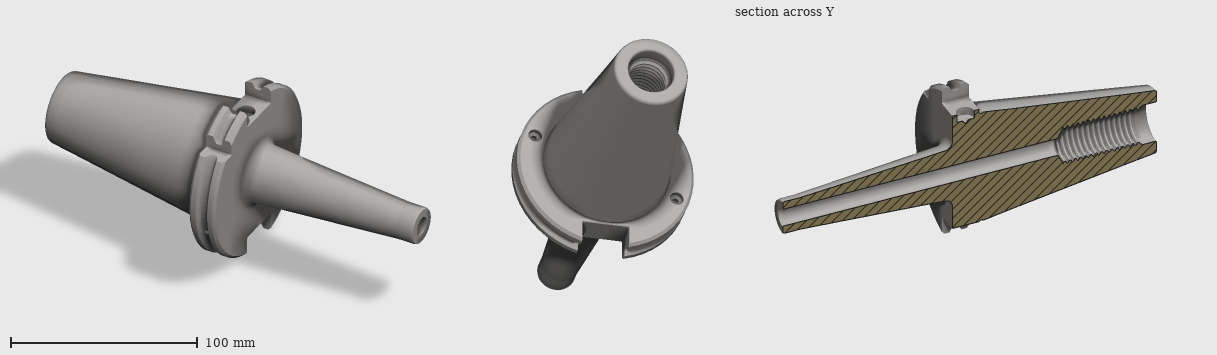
import cadquery as cq
import math

total_length = 220.8

taper_length = 102.5
taper_big_radius = 35.0
taper_small_radius = taper_big_radius - taper_length * 7 / 48
taper_end_round = 2.0
relief_depth = 0.5

flange_start = 104.6
flange_end = 120.8
flange_radius = 97.4 / 2
flange_chamfer = 1.5
groove_center = 112.8
groove_floor_radius = 45.5
groove_mouth_width = 7.0
groove_half_angle = math.radians(30)
groove_floor_round = 1.3

neck_round = 4.5
neck_radius = 16.3
nose_start = 210.5
nose_radius = 10.4
nose_chamfer_length = 1.3
nose_chamfer_depth = 0.5

bore_mouth_round = 1.3
pilot_radius = 12.5
pilot_depth = 8.2
thread_root_radius = 12.0
thread_crest_radius = 10.4
thread_start = 9.3
thread_pitch = 3.0
thread_crest_width = 0.9
thread_turns = 15
thread_half_angle = math.radians(30)
through_radius = 5.3
drill_point_angle = math.radians(120)

slot_width = 25.5
upper_slot_floor = 37.5
lower_slot_floor = 35.3
notch_side = 29.8
notch_floor = 30.0
cutout_chamfer = 0.5
cutout_corner_round = 0.7

key_hole_radius = 5.0
key_hole_depth = 4.9
dimple_radius = 2.0
dimple_depth = 2.0

screw_circle_radius = 41.5
screw_angles = (20, 200)
screw_radius = 3.8
screw_pocket_depth = 2.9
socket_diameter = 3.5
socket_depth = 2.2

groove_hole_radius = 1.5
groove_hole_depth = 4.0
groove_hole_angles = (20, 60, 200)


def revolve_about_axis(outline):
    return outline.close().revolve(360, (0, 0, 0), (1, 0, 0))


def revolved_body():
    half_mouth = groove_mouth_width / 2
    half_floor = half_mouth - (flange_radius - groove_floor_radius) * math.tan(groove_half_angle)
    tangent = groove_floor_round * math.tan((math.pi / 2 - groove_half_angle) / 2)
    flat_end = half_floor - tangent
    wall_end = half_floor + tangent * math.sin(groove_half_angle)
    wall_end_radius = groove_floor_radius + tangent * math.cos(groove_half_angle)
    outline = (
        cq.Workplane("XY")
        .lineTo(0, taper_small_radius)
        .lineTo(taper_length, taper_big_radius)
        .lineTo(taper_length + relief_depth, taper_big_radius - relief_depth)
        .lineTo(flange_start - relief_depth, taper_big_radius - relief_depth)
        .lineTo(flange_start, taper_big_radius)
        .lineTo(flange_start, flange_radius - flange_chamfer)
        .lineTo(flange_start + flange_chamfer, flange_radius)
        .lineTo(groove_center - half_mouth, flange_radius)
        .lineTo(groove_center - wall_end, wall_end_radius)
        .tangentArcPoint((groove_center - flat_end, groove_floor_radius), relative=False)
        .lineTo(groove_center + flat_end, groove_floor_radius)
        .tangentArcPoint((groove_center + wall_end, wall_end_radius), relative=False)
        .lineTo(groove_center + half_mouth, flange_radius)
        .lineTo(flange_end - flange_chamfer, flange_radius)
        .lineTo(flange_end, flange_radius - flange_chamfer)
        .lineTo(flange_end, neck_radius + neck_round)
        .radiusArc((flange_end + neck_round, neck_radius), -neck_round)
        .lineTo(nose_start, nose_radius)
        .lineTo(total_length - nose_chamfer_length, nose_radius)
        .lineTo(total_length, nose_radius - nose_chamfer_depth)
        .lineTo(total_length, 0)
    )
    return revolve_about_axis(outline).faces("<X").edges().fillet(taper_end_round)


def axial_bore():
    """Stepped bore; the thread is a row of plain ring grooves."""
    thread_height = thread_root_radius - thread_crest_radius
    flank = thread_height * math.tan(thread_half_angle)
    root = thread_pitch - 2 * flank - thread_crest_width
    thread_end = thread_start + thread_turns * thread_pitch
    point_length = (thread_crest_radius - through_radius) / math.tan(drill_point_angle / 2)
    outline = (
        cq.Workplane("XY")
        .lineTo(0, pilot_radius + bore_mouth_round)
        .radiusArc((bore_mouth_round, pilot_radius), -bore_mouth_round)
        .lineTo(pilot_depth, pilot_radius)
        .lineTo(thread_start, thread_root_radius)
    )
    for _ in range(thread_turns):
        outline = (
            outline.line(root, 0)
            .line(flank, -thread_height)
            .line(thread_crest_width, 0)
            .line(flank, thread_height)
        )
    outline = (
        outline.line(0, -thread_height)
        .lineTo(thread_end + point_length, through_radius)
        .lineTo(total_length, through_radius)
        .lineTo(total_length, 0)
    )
    return revolve_about_axis(outline)


def rim_cutout(y_min, y_max, z_min, z_max):
    """Rounded-corner box through the flange width, flared at the taper-side face."""
    width = y_max - y_min
    height = z_max - z_min
    face = cq.Workplane("YZ", origin=(flange_start, (y_min + y_max) / 2, (z_min + z_max) / 2))
    box = face.rect(width, height).extrude(flange_end - flange_start)
    flare = face.rect(width + 2 * cutout_chamfer, height + 2 * cutout_chamfer)
    return box.edges("|X").fillet(cutout_corner_round).union(flare.extrude(cutout_chamfer, taper=45))


def key_hole():
    bottom = upper_slot_floor - key_hole_depth
    bore = cq.Workplane("XY", origin=(groove_center, 0, bottom)).circle(key_hole_radius)
    dimple = cq.Solid.makeCone(
        dimple_radius, 0, dimple_depth, pnt=cq.Vector(groove_center, 0, bottom), dir=cq.Vector(0, 0, -1)
    )
    return bore.extrude(key_hole_depth).union(dimple)


def groove_hole():
    bottom_radius = groove_floor_radius - groove_hole_depth
    bottom = cq.Workplane("XZ", origin=(groove_center, bottom_radius, 0))
    return bottom.circle(groove_hole_radius).extrude(bottom_radius - flange_radius)


def screw_pocket():
    face = cq.Workplane("YZ", origin=(flange_start, screw_circle_radius, 0))
    socket = face.polygon(6, socket_diameter).extrude(screw_pocket_depth + socket_depth)
    return face.circle(screw_radius).extrude(screw_pocket_depth).union(socket)


def cut_around_axis(body, cutter, angles):
    """Cut a shape built on the +Y side at each angle about the tool axis."""
    for angle in angles:
        body = body.cut(cutter.rotate((0, 0, 0), (1, 0, 0), angle))
    return body


reach = flange_radius + 2.2
half_slot = slot_width / 2

result = revolved_body().cut(axial_bore())
result = result.cut(rim_cutout(-half_slot, half_slot, upper_slot_floor, reach))
result = result.cut(rim_cutout(-half_slot, half_slot, -reach, -lower_slot_floor))
result = result.cut(rim_cutout(-reach, -notch_side, notch_floor, reach))
result = result.cut(key_hole())
result = cut_around_axis(result, screw_pocket(), screw_angles)
result = cut_around_axis(result, groove_hole(), groove_hole_angles)